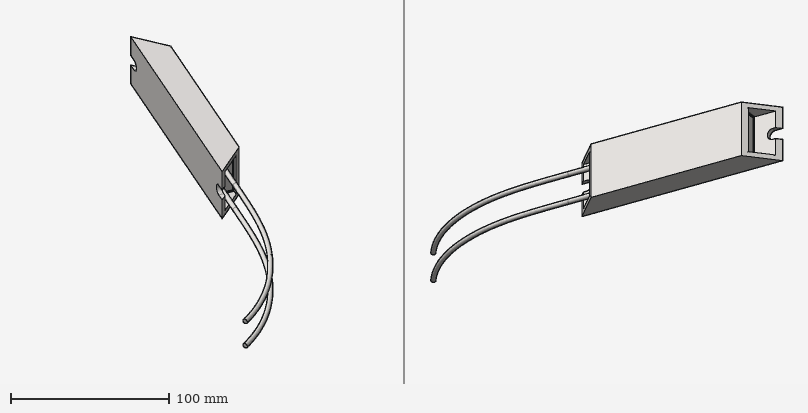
import cadquery as cq
import math

body_length = 148.5
body_depth = 19.5
body_height = 38.0
bevel_length = 18.8

wall = 3.5
pocket_floor = bevel_length
rim_width = 0.9
rim_depth = 0.9

notch_width = 7.7
notch_length = 9.5

wire_diameter = 3.5
wire_spacing = 19.5
wire_y = 6.8
wire_embedment = 0.9
wire_straight_end = 153.7
wire_middle = (222.2, 0.9)
wire_tip_angle = math.radians(-56)
wire_radius = wire_diameter / 2
overall_length = 284.5
overall_depth = 61.8
wire_tip = (
    overall_length + wire_radius * math.sin(wire_tip_angle),
    body_depth - overall_depth + wire_radius * math.cos(wire_tip_angle),
)


def make_body():
    outline = [
        (0, 0),
        (body_length, 0),
        (body_length - bevel_length, body_depth),
        (bevel_length, body_depth),
    ]
    return cq.Workplane("XY").polyline(outline).close().extrude(body_height / 2, both=True)


def make_pocket(depth, margin):
    """Rectangular pocket at the X = 0 end, inset by margin from the body sides."""
    return cq.Workplane("XY").box(
        depth, body_depth - 2 * margin, body_height - 2 * margin, centered=(False, False, True)
    ).translate((0, margin, 0))


def make_notch():
    """Notch cut at the X = 0 end, from the front face into the pocket."""
    radius = notch_width / 2
    arc_start = notch_length - radius
    return (
        cq.Workplane("XZ")
        .moveTo(0, -radius)
        .lineTo(arc_start, -radius)
        .threePointArc((notch_length, 0), (arc_start, radius))
        .lineTo(0, radius)
        .close()
        .extrude(-body_depth)
    )


def make_wire(z):
    """Round lead that leaves the pocket floor straight and then bends toward -Y."""
    wire_start = body_length - pocket_floor - rim_depth - wire_embedment
    path = (
        cq.Workplane("XY", origin=(0, 0, z))
        .moveTo(wire_start, wire_y)
        .lineTo(wire_straight_end, wire_y)
        .spline(
            [wire_middle, wire_tip],
            tangents=[(1, 0), (math.cos(wire_tip_angle), math.sin(wire_tip_angle))],
            includeCurrent=True,
        )
    )
    profile = cq.Workplane("YZ", origin=(wire_start, wire_y, z)).circle(wire_radius)
    return profile.sweep(path)


end_cut = (
    make_pocket(pocket_floor, wall)
    .union(make_pocket(pocket_floor + rim_depth, wall + rim_width))
    .union(make_notch())
)
opposite_end_cut = end_cut.mirror("YZ", (body_length / 2, 0, 0))

result = make_body().cut(end_cut).cut(opposite_end_cut)
for side in (-1, 1):
    result = result.union(make_wire(side * wire_spacing / 2))